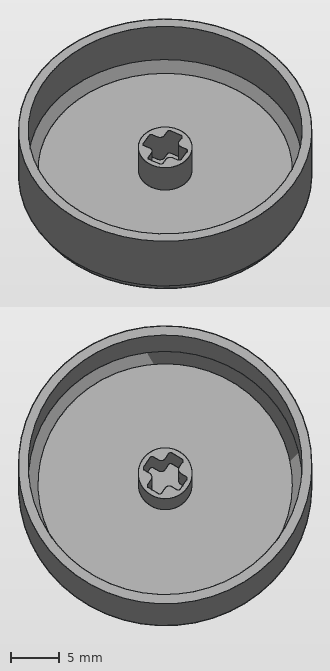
import cadquery as cq

outer_diameter = 30.0
height = 8.0
wall = 1.0
floor_thickness = 1.8

bottom_bevel_width = 0.5
bottom_bevel_height = 1.0

inner_bevel_width = 1.0
inner_bevel_height = 1.0

post_diameter = 5.5
post_height = 3.5
cross_length = 4.44
cross_arm_width = 1.7
cross_corner_radius = 0.5
cross_tip_radius = 0.25
socket_depth = post_height

outer_radius = outer_diameter / 2
inner_radius = outer_radius - wall
post_top = floor_thickness + post_height


def make_shell():
    """Revolve the half section of the shell around Z."""
    return (
        cq.Workplane("XZ")
        .lineTo(outer_radius - bottom_bevel_width, 0)
        .lineTo(outer_radius, bottom_bevel_height)
        .lineTo(outer_radius, height)
        .lineTo(inner_radius, height)
        .lineTo(inner_radius, floor_thickness + inner_bevel_height)
        .lineTo(inner_radius - inner_bevel_width, floor_thickness)
        .lineTo(0, floor_thickness)
        .close()
        .revolve(360, (0, 0, 0), (0, 1, 0))
    )


def make_post():
    """Solid post, from the underside of the floor to the post top."""
    return cq.Workplane("XY").circle(post_diameter / 2).extrude(post_top)


def make_socket():
    """Cross-shaped cutter with rounded tips and rounded inner corners."""
    base = cq.Workplane("XY", origin=(0, 0, post_top - socket_depth))
    arm_x = base.rect(cross_length, cross_arm_width).extrude(socket_depth)
    arm_y = base.rect(cross_arm_width, cross_length).extrude(socket_depth)
    inner_corners = cq.selectors.BoxSelector(
        (-cross_arm_width, -cross_arm_width, 0),
        (cross_arm_width, cross_arm_width, height),
    )
    cross = arm_x.union(arm_y)
    cross = cross.edges("|Z").edges(inner_corners).fillet(cross_corner_radius)
    tip_faces = cross.faces("<X or >X or <Y or >Y")
    return tip_faces.edges("|Z").fillet(cross_tip_radius)


result = make_shell().union(make_post()).cut(make_socket())